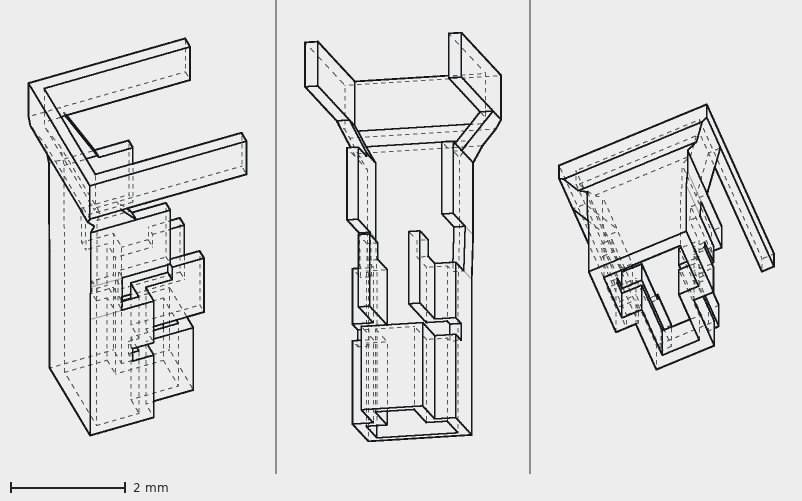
import cadquery as cq
import math

SHEET = 0.2
FLARE_ANGLE = math.radians(30)
ARM_THICKNESS = SHEET / math.cos(FLARE_ANGLE)
BAND_HALF_WIDTH = 1.4
ARM_END_Y = 2.95

HEIGHT = 6.5
LOWER_CRIMP_TOP = 1.5
UPPER_CRIMP_BOTTOM = 1.8
UPPER_CRIMP_TOP = 2.8
TAB_TOP = 3.1
COLLAR_BOTTOM = 3.6
COLLAR_TOP = 4.9
BAND_BOTTOM = 5.7

STEM_FRONT_Y = SHEET
BACK_FLARE_BOTTOM = 5.2
BACK_FLARE_TOP = BACK_FLARE_BOTTOM + STEM_FRONT_Y / math.tan(FLARE_ANGLE)

COLLAR_HALF_WIDTH = 0.95
CRIMP_HALF_WIDTH = 0.925

NECK_END_Y = 0.8
SLOT_END_Y = 1.0
FLARE_BOTTOM_END_Y = 1.06
FLARE_TOP_END_Y = FLARE_BOTTOM_END_Y - (BAND_BOTTOM - COLLAR_TOP) * math.tan(FLARE_ANGLE)
SHOULDER_END_Y = 1.4
COLLAR_END_Y = 1.7

WING_OUTER_X = 0.55
WING_INNER_X = WING_OUTER_X - SHEET
LOWER_WING_END_Y = 2.3
UPPER_WING_END_Y = 2.5
TAB_START_Y = 1.9

BEND_RISE = SHEET * math.tan(FLARE_ANGLE / 2)


def box(x_range, y_range, z_range):
    """Block between the given limits on each axis."""
    size = [end - start for start, end in (x_range, y_range, z_range)]
    corner = (x_range[0], y_range[0], z_range[0])
    return cq.Workplane("XY").box(*size, centered=False).translate(corner)


def extrude_along_y(right_half):
    """Mirror a right-hand (x, z) outline about x = 0 and extrude it over the depth."""
    left_half = [(-x, z) for x, z in reversed(right_half)]
    outline = cq.Workplane("XZ").polyline(right_half + left_half).close()
    return outline.extrude(-ARM_END_Y)


def extrude_along_x(outline):
    """Extrude a (y, z) outline over the full width."""
    return cq.Workplane("YZ").polyline(outline).close().extrude(BAND_HALF_WIDTH, both=True)


def make_envelope():
    """Outside of the folded sheet: front outline crossed with side outline."""
    front = extrude_along_y([
        (CRIMP_HALF_WIDTH, 0),
        (CRIMP_HALF_WIDTH, UPPER_CRIMP_TOP),
        (COLLAR_HALF_WIDTH, COLLAR_BOTTOM),
        (COLLAR_HALF_WIDTH, COLLAR_TOP),
        (BAND_HALF_WIDTH, BAND_BOTTOM),
        (BAND_HALF_WIDTH, HEIGHT),
    ])
    side = extrude_along_x([
        (STEM_FRONT_Y, 0),
        (SHOULDER_END_Y, 0),
        (SHOULDER_END_Y, LOWER_CRIMP_TOP),
        (SLOT_END_Y, LOWER_CRIMP_TOP),
        (SLOT_END_Y, UPPER_CRIMP_BOTTOM),
        (SHOULDER_END_Y, UPPER_CRIMP_BOTTOM),
        (SHOULDER_END_Y, UPPER_CRIMP_TOP),
        (NECK_END_Y, UPPER_CRIMP_TOP),
        (NECK_END_Y, COLLAR_BOTTOM),
        (COLLAR_END_Y, COLLAR_BOTTOM),
        (COLLAR_END_Y, COLLAR_TOP),
        (FLARE_BOTTOM_END_Y, COLLAR_TOP),
        (FLARE_TOP_END_Y, BAND_BOTTOM),
        (ARM_END_Y, BAND_BOTTOM),
        (ARM_END_Y, HEIGHT),
        (0, HEIGHT),
        (0, BACK_FLARE_TOP),
        (STEM_FRONT_Y, BACK_FLARE_BOTTOM),
    ])
    return front.intersect(side)


def make_cavity():
    """Space between the side walls and behind the back wall."""
    between_sides = extrude_along_y([
        (CRIMP_HALF_WIDTH - SHEET, 0),
        (CRIMP_HALF_WIDTH - SHEET, UPPER_CRIMP_TOP),
        (COLLAR_HALF_WIDTH - SHEET, COLLAR_BOTTOM),
        (COLLAR_HALF_WIDTH - SHEET, COLLAR_TOP + BEND_RISE),
        (BAND_HALF_WIDTH - ARM_THICKNESS, BAND_BOTTOM),
        (BAND_HALF_WIDTH - ARM_THICKNESS, HEIGHT),
    ])
    behind_back = extrude_along_x([
        (STEM_FRONT_Y + SHEET, 0),
        (ARM_END_Y, 0),
        (ARM_END_Y, HEIGHT),
        (SHEET, HEIGHT),
        (SHEET, BACK_FLARE_TOP + BEND_RISE),
        (STEM_FRONT_Y + SHEET, BACK_FLARE_BOTTOM + BEND_RISE),
    ])
    return between_sides.intersect(behind_back)


def make_right_wing(end_y, z_range):
    """Shoulder folded inward from the side wall, then a wing folded rearward."""
    shoulder_start_y = SHOULDER_END_Y - SHEET
    shoulder = box((WING_INNER_X, CRIMP_HALF_WIDTH), (shoulder_start_y, SHOULDER_END_Y), z_range)
    wing = box((WING_INNER_X, WING_OUTER_X), (shoulder_start_y, end_y), z_range)
    return shoulder.union(wing)


def make_crimps():
    """Both pairs of wings, the tabs on the upper pair and the web joining the lower pair."""
    lower_z = (0, LOWER_CRIMP_TOP)
    upper_z = (UPPER_CRIMP_BOTTOM, UPPER_CRIMP_TOP)
    tab = box((WING_INNER_X, WING_OUTER_X), (TAB_START_Y, UPPER_WING_END_Y), (UPPER_CRIMP_TOP, TAB_TOP))
    right = make_right_wing(LOWER_WING_END_Y, lower_z)
    right = right.union(make_right_wing(UPPER_WING_END_Y, upper_z)).union(tab)
    web_y = (LOWER_WING_END_Y - SHEET, LOWER_WING_END_Y)
    web = box((-WING_INNER_X, WING_INNER_X), web_y, lower_z)
    return right.union(right.mirror("YZ")).union(web)


result = make_envelope().cut(make_cavity()).union(make_crimps())